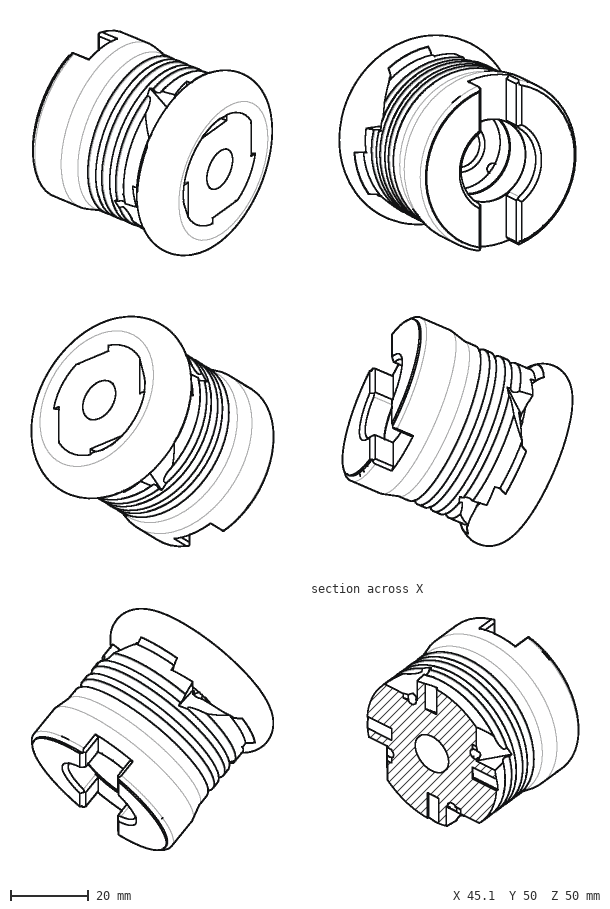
import cadquery as cq
import math


SHANK_RADIUS = 22.92
NECK_RADIUS = 21.75
LEDGE_RADIUS = 21.8
LEDGE_LENGTH = 0.5
BACK_FILLET = 1.0
TAPER_START = 10.0
TAPER_END = 14.5
BODY_END = 44.0

GROOVE_START = 17.8
GROOVE_PITCH = 4.5
GROOVE_COUNT = 3
GROOVE_WIDTH = 2.6
GROOVE_DEPTH = 0.8
GROOVE_BEVEL = 0.2

TOTAL_LENGTH = 45.1
INSERT_RADIUS = 6.0
CUTTER_RADIUS = 24.98
RING_X = TOTAL_LENGTH - INSERT_RADIUS
RING_RADIUS = CUTTER_RADIUS - INSERT_RADIUS
FLARE_RADIUS = 6.1
FLARE_END = 35.2

BORE_RADIUS = 11.0
BORE_DEPTH = 20.0
BORE_CHAMFER = 1.1
RELIEF_RADIUS = 11.2
RELIEF_START = 6.6
RELIEF_END = 15.0
SCREW_RADIUS = 5.5
SCREW_CHAMFER = 1.0

SLOT_WIDTH = 10.4
SLOT_DEPTH = 6.3
SLOT_CHAMFER = 1.1
SLOT_RIM_Z = 21.2
SLOT_BORE_Z = 10.05
SLOT_BORE_CHAMFER = 1.0

FLUTE_COUNT = 4
RAKE = 8.0
FLUTE_SLOPE = 41.2
FLUTE_START = (24.7, 22.0)
POCKET_FLOOR = 13.5
FLUTE_CORNER = (25.9, -5.9)
SEAT_CORNER = (32.3, 1.4)
CLEARANCE_CORNER = (32.23, -5.5)
CUT_REACH = 30.0

COOLANT_RADIUS = 1.4
COOLANT_Z = -6.75
COOLANT_START_Y = -8.7
COOLANT_ANGLE = 24.0
COOLANT_LENGTH = 18.0


def revolve_about_x(profile):
    return profile.close().revolve(360, (0, 0, 0), (1, 0, 0))


def flare_point(angle):
    """Point on the flare's arc, at an angle from the backward axial direction."""
    return (RING_X - FLARE_RADIUS * math.cos(angle), RING_RADIUS + FLARE_RADIUS * math.sin(angle))


def make_body():
    fillet_x = LEDGE_LENGTH + BACK_FILLET
    fillet_y = SHANK_RADIUS - BACK_FILLET
    fillet_offset = BACK_FILLET * math.sqrt(0.5)
    profile = (
        cq.Workplane("XY")
        .moveTo(0, 0)
        .lineTo(0, LEDGE_RADIUS)
        .lineTo(LEDGE_LENGTH, LEDGE_RADIUS)
        .lineTo(LEDGE_LENGTH, fillet_y)
        .threePointArc((fillet_x - fillet_offset, fillet_y + fillet_offset), (fillet_x, SHANK_RADIUS))
        .lineTo(TAPER_START, SHANK_RADIUS)
        .lineTo(TAPER_END, NECK_RADIUS)
    )
    groove_floor = NECK_RADIUS - GROOVE_DEPTH
    for i in range(GROOVE_COUNT):
        start = GROOVE_START + i * GROOVE_PITCH
        end = start + GROOVE_WIDTH
        middle = (start + end) / 2
        bevel_radius = NECK_RADIUS - GROOVE_BEVEL
        profile = (
            profile.lineTo(start, NECK_RADIUS)
            .lineTo(start + GROOVE_BEVEL, bevel_radius)
            .threePointArc((middle, groove_floor), (end - GROOVE_BEVEL, bevel_radius))
            .lineTo(end, NECK_RADIUS)
        )
    flare_start_angle = math.asin((NECK_RADIUS - RING_RADIUS) / FLARE_RADIUS)
    flare_end_angle = math.acos((RING_X - FLARE_END) / FLARE_RADIUS)
    flare_start = flare_point(flare_start_angle)
    flare_middle = flare_point((flare_start_angle + flare_end_angle) / 2)
    flare_end = flare_point(flare_end_angle)
    profile = (
        profile.lineTo(*flare_start)
        .threePointArc(flare_middle, flare_end)
        .lineTo(FLARE_END, RING_RADIUS)
        .lineTo(BODY_END, RING_RADIUS)
        .lineTo(BODY_END, 0)
    )
    return revolve_about_x(profile)


def make_ring():
    section = cq.Workplane("XY").center(RING_X, RING_RADIUS).circle(INSERT_RADIUS)
    return section.revolve(360, (-RING_X, -RING_RADIUS, 0), (1 - RING_X, -RING_RADIUS, 0))


def make_bore():
    relief_step = RELIEF_RADIUS - BORE_RADIUS
    profile = cq.Workplane("XY").polyline([
        (0, 0),
        (0, BORE_RADIUS + BORE_CHAMFER),
        (BORE_CHAMFER, BORE_RADIUS),
        (RELIEF_START, BORE_RADIUS),
        (RELIEF_START + relief_step, RELIEF_RADIUS),
        (RELIEF_END, RELIEF_RADIUS),
        (RELIEF_END + relief_step, BORE_RADIUS),
        (BORE_DEPTH, BORE_RADIUS),
        (BORE_DEPTH, SCREW_RADIUS + SCREW_CHAMFER),
        (BORE_DEPTH + SCREW_CHAMFER, SCREW_RADIUS),
        (BODY_END, SCREW_RADIUS),
        (BODY_END, 0),
    ])
    return revolve_about_x(profile)


def make_drive_slot():
    half = SLOT_WIDTH / 2
    wide = half + SLOT_CHAMFER
    groove = (
        cq.Workplane("XY")
        .polyline([
            (0, wide),
            (SLOT_CHAMFER, half),
            (SLOT_DEPTH, half),
            (SLOT_DEPTH, -half),
            (SLOT_CHAMFER, -half),
            (0, -wide),
        ])
        .close()
        .extrude(CUT_REACH, both=True)
    )
    bore_half = half + SLOT_BORE_CHAMFER
    reach = CUT_REACH - SLOT_RIM_Z
    corners = (
        cq.Workplane("YZ")
        .polyline([
            (-bore_half, 0),
            (-bore_half, SLOT_BORE_Z - SLOT_BORE_CHAMFER),
            (-half, SLOT_BORE_Z),
            (-half, SLOT_RIM_Z),
            (-half - reach, CUT_REACH),
            (half + reach, CUT_REACH),
            (half, SLOT_RIM_Z),
            (half, SLOT_BORE_Z),
            (bore_half, SLOT_BORE_Z - SLOT_BORE_CHAMFER),
            (bore_half, 0),
        ])
        .close()
        .extrude(SLOT_DEPTH)
    )
    return groove.union(corners).union(corners.mirror("XY"))


def tilted_block(corner):
    """Block ahead of and below a corner at (X, Z), tilted by the rake and open towards -Y."""
    x, z = corner
    return (
        cq.Workplane("XY")
        .box(CUT_REACH, CUT_REACH, CUT_REACH, centered=False)
        .translate((x, -POCKET_FLOOR - CUT_REACH, z - CUT_REACH))
        .rotate((x, 0, z), (x, 1, z), -RAKE)
    )


def make_flute():
    start_x, start_radius = FLUTE_START
    run = (start_radius - POCKET_FLOOR) / math.tan(math.radians(FLUTE_SLOPE))
    side = (
        cq.Workplane("XY")
        .polyline([
            (start_x, -start_radius),
            (start_x + run, -POCKET_FLOOR),
            (BODY_END, -POCKET_FLOOR),
            (BODY_END, -CUT_REACH),
            (start_x, -CUT_REACH),
        ])
        .close()
        .extrude(-CUT_REACH)
    )
    corner_x, corner_z = FLUTE_CORNER
    back = CUT_REACH / 3
    wall_corner = (corner_x - back, corner_z - back * math.tan(math.radians(RAKE)))
    return side.intersect(tilted_block(wall_corner))


def make_coolant_hole():
    angle = math.radians(COOLANT_ANGLE)
    start = cq.Vector(BORE_DEPTH, COOLANT_START_Y, COOLANT_Z)
    direction = cq.Vector(math.cos(angle), -math.sin(angle), 0)
    overlap = 2 * COOLANT_RADIUS
    hole = cq.Solid.makeCylinder(
        COOLANT_RADIUS, COOLANT_LENGTH + overlap, start - direction * overlap, direction
    )
    ahead = cq.Workplane("XY").box(CUT_REACH, 2 * CUT_REACH, 2 * CUT_REACH)
    return cq.Workplane(hole).intersect(ahead.translate((BORE_DEPTH + CUT_REACH / 2, 0, 0)))


body = make_body().cut(make_bore()).cut(make_drive_slot())
pocket_cuts = [
    make_flute(),
    tilted_block(SEAT_CORNER),
    tilted_block(CLEARANCE_CORNER),
    make_coolant_hole(),
]
for i in range(FLUTE_COUNT):
    for cutter in pocket_cuts:
        body = body.cut(cutter.rotate((0, 0, 0), (1, 0, 0), i * 360 / FLUTE_COUNT))

result = body.union(make_ring())